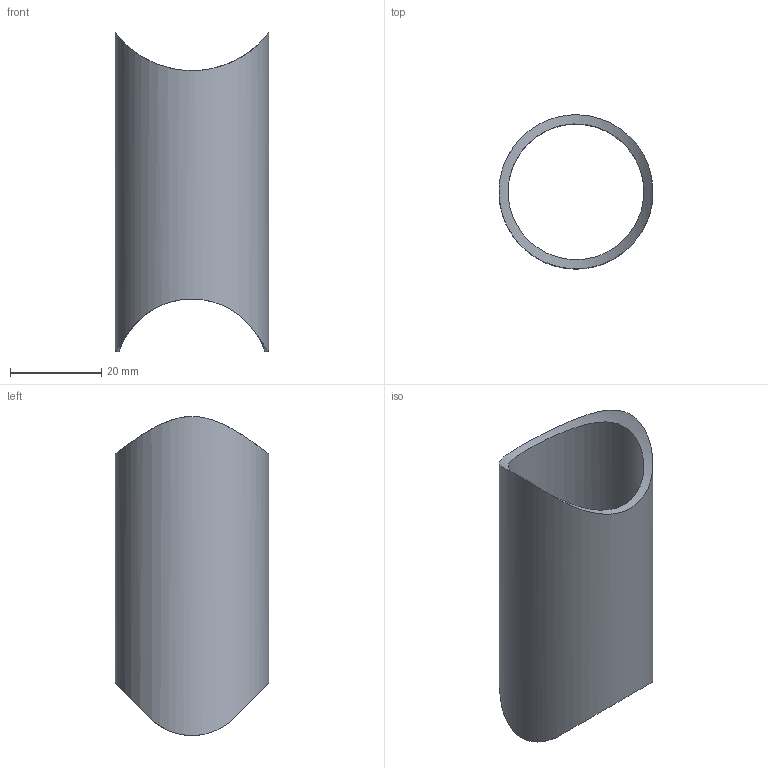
import cadquery as cq
import math

tube_outer_diameter = 33.7
wall_thickness = 2.0
overall_height = 69.83

lower_member_diameter = tube_outer_diameter
upper_member_diameter = 42.4
member_spacing = 88.05

nose_radius = 13.0
flank_angle = math.radians(45)

tube_radius = tube_outer_diameter / 2
bore_radius = tube_radius - wall_thickness
lower_member_radius = lower_member_diameter / 2
upper_member_radius = upper_member_diameter / 2

top_tip_z = member_spacing - math.sqrt(upper_member_radius**2 - tube_radius**2)
bottom_tip_z = top_tip_z - overall_height

tool_reach = tube_outer_diameter


def cylinder_along_y(radius, axis_z):
    """Solid cylinder along Y, centred on the tube, with its axis at axis_z."""
    return cq.Workplane("XZ").center(0, axis_z).circle(radius).extrude(tool_reach, both=True)


def tube():
    """Straight tube spanning from tip to tip."""
    blank = cq.Workplane("XY").workplane(offset=bottom_tip_z)
    return blank.circle(tube_radius).circle(bore_radius).extrude(overall_height)


def nose_envelope():
    """Block whose underside is an arc with a tangent flank rising on each side of it."""
    arc_half_width = nose_radius * math.sin(flank_angle)
    arc_end_z = bottom_tip_z + nose_radius * (1 - math.cos(flank_angle))
    block_half_width = tool_reach
    flank_top_z = arc_end_z + (block_half_width - arc_half_width) * math.tan(flank_angle)
    return (
        cq.Workplane("YZ")
        .moveTo(-arc_half_width, arc_end_z)
        .threePointArc((0, bottom_tip_z), (arc_half_width, arc_end_z))
        .lineTo(block_half_width, flank_top_z)
        .lineTo(block_half_width, top_tip_z)
        .lineTo(-block_half_width, top_tip_z)
        .lineTo(-block_half_width, flank_top_z)
        .close()
        .extrude(tool_reach, both=True)
    )


result = (
    tube()
    .intersect(nose_envelope())
    .cut(cylinder_along_y(lower_member_radius, 0))
    .cut(cylinder_along_y(upper_member_radius, member_spacing))
)